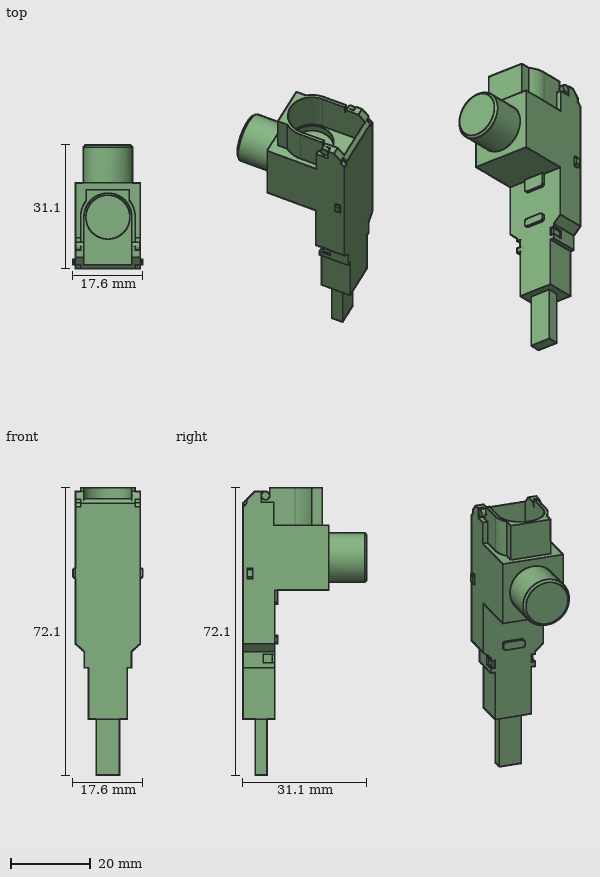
import cadquery as cq


overall_width = 17.6
body_width = 16.3
half_width = body_width / 2
stem_depth = 8.0
shoulder_z = 32.95
neck_top_z = 31.0
neck_bottom_z = 26.9
neck_width = 12.0
grip_bottom_z = 14.05
grip_width = 9.8

blade_width = 5.9
blade_depth = 3.0
blade_front_y = 3.0

head_rear_y = 21.55
head_top_z = 62.7
head_bottom_z = head_top_z - body_width
tube_diameter = 12.5
tube_end_y = 31.1
tube_chamfer = 0.6

wall_depth = 7.8
ledge_z = 68.5
rail_top_z = 71.15
rail_chamfer = 2.95

total_height = 72.1
collar_width = 13.7
collar_front_y = 6.7
collar_axis_y = 13.0
collar_rear_y = 19.9
collar_rear_width = 10.75
cavity_width = 12.05
cavity_front_y = 1.1
cavity_floor_z = 61.6
recess_diameter = 11.0
recess_depth = 1.9

pin_diameter = 2.1
pin_y = collar_front_y - pin_diameter / 2
pin_z = rail_top_z - pin_diameter / 2
rail_depth = pin_y - pin_diameter / 2
pin_side_gap = 0.15

notch_depth = 1.0
notch_foot_z = 67.3

latch_height = (overall_width - body_width) / 2
latch_front_y = 1.1
latch_rear_y = 2.45
latch_bottom_z = 49.25
latch_top_z = 51.9
latch_top_chamfer = 0.35
latch_bottom_chamfer = 0.6

tab_width = 5.8
tab_height = 0.7
tab_chamfer = 0.4
upper_tab_bottom_z = 42.9
lower_tab_bottom_z = 32.95
lower_tab_top_z = 35.05

pocket_bottom_z = 28.2
pocket_top_z = 30.3
pocket_front_y = 5.05
pocket_depth = 0.5
pocket_slot_front_y = 7.35
pocket_slot_depth = 1.1


def box(x_range, y_range, z_range):
    """Box between two limits along each axis."""
    (x0, x1), (y0, y1), (z0, z1) = x_range, y_range, z_range
    return cq.Workplane("XY").box(x1 - x0, y1 - y0, z1 - z0, centered=False).translate((x0, y0, z0))


def centred_box(width, y_range, z_range):
    """Box centred on the symmetry plane."""
    return box((-width / 2, width / 2), y_range, z_range)


def side_plate(outline, x_start, x_end):
    """Prism of a (y, z) outline between two X positions."""
    return cq.Workplane("YZ").polyline(outline).close().extrude(x_end - x_start).translate((x_start, 0, 0))


def both_sides(shape):
    """Shape together with its mirror image across the symmetry plane."""
    return shape.union(shape.mirror("YZ"))


def make_stem():
    """Stepped stem, seen as an outline across its width, with the blade below."""
    right_edge = [
        (half_width, head_top_z),
        (half_width, shoulder_z),
        (neck_width / 2, neck_top_z),
        (neck_width / 2, neck_bottom_z),
        (grip_width / 2, neck_bottom_z),
        (grip_width / 2, grip_bottom_z),
    ]
    left_edge = [(-x, z) for x, z in reversed(right_edge)]
    stem = cq.Workplane("XZ").polyline(right_edge + left_edge).close().extrude(-stem_depth)
    blade = centred_box(blade_width, (blade_front_y, blade_front_y + blade_depth), (0, grip_bottom_z))
    return stem.union(blade)


def make_head():
    """Square block with the round tube pointing to the rear."""
    head = centred_box(body_width, (0, head_rear_y), (head_bottom_z, head_top_z))
    tube_z = (head_top_z + head_bottom_z) / 2
    tube = (
        cq.Workplane("XZ", origin=(0, head_rear_y, tube_z))
        .circle(tube_diameter / 2)
        .extrude(head_rear_y - tube_end_y)
        .faces(">Y")
        .chamfer(tube_chamfer)
    )
    return head.union(tube)


def make_front_wall():
    """Wall above the head, stepped at the rear and chamfered at the front."""
    outline = [
        (0, head_bottom_z),
        (0, rail_top_z - rail_chamfer),
        (rail_chamfer, rail_top_z),
        (rail_depth, rail_top_z),
        (rail_depth, ledge_z),
        (wall_depth, ledge_z),
        (wall_depth, head_bottom_z),
    ]
    wall = side_plate(outline, -half_width, half_width)
    inner_rails = centred_box(collar_width, (rail_depth, pin_y), (ledge_z, rail_top_z))
    pin_seats = centred_box(collar_width, (pin_y, collar_front_y), (ledge_z, pin_z))
    return wall.union(inner_rails).union(pin_seats)


def make_collar():
    """U-shaped collar with a straight-sided rear lug."""
    heights = (head_top_z, total_height)
    straight = centred_box(collar_width, (collar_front_y, collar_axis_y), heights)
    lug = centred_box(collar_rear_width, (collar_axis_y, collar_rear_y), heights)
    rounded = (
        cq.Workplane("XY", origin=(0, collar_axis_y, head_top_z))
        .circle(collar_width / 2)
        .extrude(total_height - head_top_z)
    )
    return straight.union(lug).union(rounded)


def make_cavity():
    """Round-ended cavity with a shallow circular recess in its floor."""
    straight = centred_box(cavity_width, (cavity_front_y, collar_axis_y), (cavity_floor_z, total_height))
    floor = cq.Workplane("XY", origin=(0, collar_axis_y, cavity_floor_z))
    round_end = floor.circle(cavity_width / 2).extrude(total_height - cavity_floor_z)
    recess = floor.circle(recess_diameter / 2).extrude(-recess_depth)
    return straight.union(round_end).union(recess)


def make_pins():
    """Round pins lying along X from the cavity to just inside the body sides."""
    start_x = cavity_width / 2
    length = half_width - pin_side_gap - start_x
    pin = (
        cq.Workplane("YZ", origin=(start_x, pin_y, pin_z))
        .circle(pin_diameter / 2)
        .extrude(length)
    )
    return both_sides(pin)


def make_corner_notches():
    """Notches with a sloped floor parallel to the front chamfer."""
    outline = [
        (0, notch_foot_z),
        (notch_depth, notch_foot_z + notch_depth),
        (notch_depth, rail_top_z - rail_chamfer + notch_depth),
        (0, rail_top_z - rail_chamfer),
    ]
    return both_sides(side_plate(outline, collar_width / 2, half_width))


def make_latches():
    """Small side bumps, chamfered at their top and bottom."""
    latch = (
        box(
            (half_width, half_width + latch_height),
            (latch_front_y, latch_rear_y),
            (latch_bottom_z, latch_top_z),
        )
        .edges(">X and >Z")
        .chamfer(latch_top_chamfer)
        .edges(">X and <Z")
        .chamfer(latch_bottom_chamfer)
    )
    return both_sides(latch)


def make_rear_tabs():
    """Two chamfered tabs on the rear of the stem, the upper one hanging from the head."""
    depths = (stem_depth, stem_depth + tab_height)
    upper = centred_box(tab_width, depths, (upper_tab_bottom_z, head_bottom_z))
    upper = upper.edges("|Y and <Z").chamfer(tab_chamfer)
    lower = centred_box(tab_width, depths, (lower_tab_bottom_z, lower_tab_top_z))
    lower = lower.edges("|Y").chamfer(tab_chamfer)
    return upper.union(lower)


def make_neck_pockets():
    """Shallow side pockets that deepen into a slot at the rear face."""
    heights = (pocket_bottom_z, pocket_top_z)
    outer_x = neck_width / 2
    shallow = box((outer_x - pocket_depth, outer_x), (pocket_front_y, stem_depth), heights)
    slot = box((outer_x - pocket_slot_depth, outer_x), (pocket_slot_front_y, stem_depth), heights)
    return both_sides(shallow.union(slot))


result = (
    make_stem()
    .union(make_head())
    .union(make_front_wall())
    .union(make_collar())
    .cut(make_cavity())
    .union(make_pins())
    .cut(make_corner_notches())
    .union(make_latches())
    .union(make_rear_tabs())
    .cut(make_neck_pockets())
)